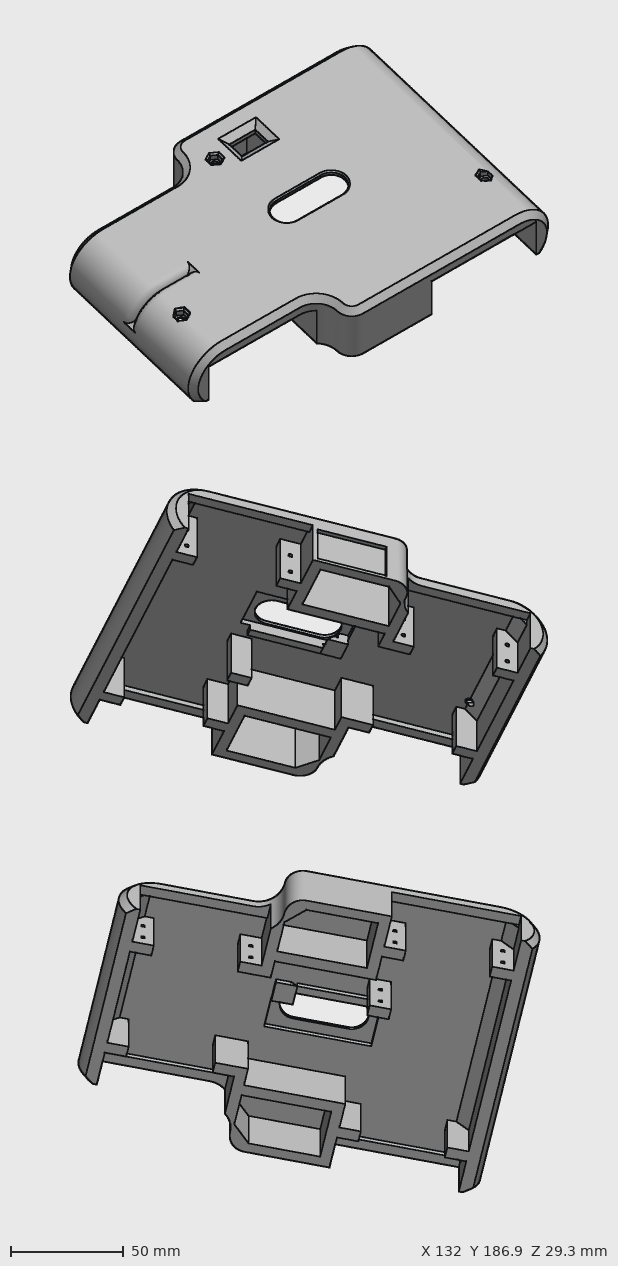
import cadquery as cq
import math

LENGTH = 186.9
HEIGHT = 29.3
HALF_LENGTH = LENGTH / 2
HALF_WIDTH = 66.0

SHOULDER_Y = -13.0
SHOULDER_RADIUS = 8.2
WAIST_RADIUS = 11.8
NARROW_HALF_WIDTH = HALF_WIDTH - SHOULDER_RADIUS - WAIST_RADIUS
SHOULDER_X = HALF_WIDTH - SHOULDER_RADIUS
FLARE_Y = SHOULDER_Y - SHOULDER_RADIUS
WAIST_Y = FLARE_Y - WAIST_RADIUS

END_RADIUS = 18.7
END_CENTER_Y = HALF_LENGTH - END_RADIUS
END_CENTER_Z = HEIGHT - END_RADIUS
EDGE_CHAMFER = 3.2

DECK = 5.0
CEILING_Z = HEIGHT - DECK
SKIRT_DEPTH = 7.8
SKIRT_BOTTOM_Z = HEIGHT - SKIRT_DEPTH
SKIRT_THICKNESS = 4.7
END_WALL_INNER_Y = 84.3
CORNER_CHAMFER = 5.6
POD_HALF_LENGTH = 25.6
POD_INNER_X = 37.8
POD_WALL = 5.2

POST_LENGTH = 9.7
POST_THICKNESS = 5.2
REAR_POST_X = 50.0
FRONT_POST_X = 29.2
PILOT_DIAMETER = 1.7
PILOT_DEPTH = 3.7
PILOT_HEIGHTS = (5.6, 15.7)
INNER_POST_X = 19.2

SLOT_CENTER = (-2.2, 9.5)
SLOT_LENGTH = 40.2
SLOT_WIDTH = 15.1
SLOT_CHAMFER = 0.7

RELIEF_DECK = 2.5
RELIEF_X = (-15.0, 6.2)
RELIEF_Y = (-15.0, 33.6)
RIB_THICKNESS = 3.7
RIB_END_Y = 29.2
RAMP_X = 0.2
RAMP_TOE_Y = -5.2
RAMP_RUN = 5.6

WINDOW_CENTER = (-46.2, 9.7)
WINDOW_MOUTH = (16.8, 21.3)
WINDOW_THROAT = (9.2, 14.5)
WINDOW_TAPER_DEPTH = 2.6

SCREW_POINTS = ((35.0, 79.6), (-46.0, -9.3), (18.7, -78.9))
SCREW_DIAMETER = 3.7
NUT_MOUTH_FLATS = 7.5
NUT_FLATS = 5.8
NUT_LEAD_IN = 1.0
NUT_DEPTH = 3.7

PANEL_CENTER_Y = 7.1
PANEL_CENTER_Z = 10.7
PANEL_LENGTH = 32.5
PANEL_HEIGHT = 18.0
PANEL_DEPTH = 2.0

GROOVE_HALF_WIDTH = 4.1
GROOVE_DEPTH = 3.7
GROOVE_LIP_BULGE = 0.65
GROOVE_START_Y = -57.2
GROOVE_END_Z = HEIGHT - 15.0

CLEARANCE = 1.9


def block(x0, x1, y0, y1, z0, z1):
    """Box between opposite corners."""
    return cq.Workplane("XY").box(x1 - x0, y1 - y0, z1 - z0, centered=False).translate((x0, y0, z0))


def outer_body():
    """Rounded-end side profile limited to the stepped plan, with chamfered edges."""
    bend = math.sqrt(0.5)
    foot_y = END_CENTER_Y + math.sqrt(END_RADIUS**2 - END_CENTER_Z**2)
    profile = (
        cq.Workplane("YZ")
        .moveTo(-foot_y, 0)
        .threePointArc((-HALF_LENGTH, END_CENTER_Z), (-END_CENTER_Y, HEIGHT))
        .lineTo(END_CENTER_Y, HEIGHT)
        .threePointArc((HALF_LENGTH, END_CENTER_Z), (foot_y, 0))
        .close()
        .extrude(HALF_WIDTH, both=True)
    )
    end_y = HALF_LENGTH + CLEARANCE
    shoulder_mid = (SHOULDER_X + SHOULDER_RADIUS * bend, SHOULDER_Y - SHOULDER_RADIUS * bend)
    waist_mid = (SHOULDER_X - WAIST_RADIUS * bend, WAIST_Y + WAIST_RADIUS * bend)
    plan = (
        cq.Workplane("XY")
        .moveTo(0, end_y)
        .lineTo(HALF_WIDTH, end_y)
        .lineTo(HALF_WIDTH, SHOULDER_Y)
        .threePointArc(shoulder_mid, (SHOULDER_X, FLARE_Y))
        .threePointArc(waist_mid, (NARROW_HALF_WIDTH, WAIST_Y))
        .lineTo(NARROW_HALF_WIDTH, -end_y)
        .lineTo(0, -end_y)
        .close()
        .extrude(HEIGHT)
    )
    body = profile.intersect(plan.union(plan.mirror("YZ")))
    top_rim = body.faces(">Z").edges("not(|X)")
    end_arcs = body.faces("|X").edges("%CIRCLE")
    return top_rim.add(end_arcs).chamfer(EDGE_CHAMFER)


def bay(half_width, length):
    """Front bay between a pod and its end wall, closed beside the deck by the skirts."""
    wide = HALF_WIDTH + CLEARANCE
    inside = half_width - SKIRT_THICKNESS
    room = block(-inside, inside, -END_WALL_INNER_Y, length - END_WALL_INNER_Y, -CLEARANCE, CEILING_Z)
    room = room.edges("|X and >Z and <Y").chamfer(CORNER_CHAMFER)
    opening = block(
        inside, wide, -END_WALL_INNER_Y, length - END_WALL_INNER_Y, -CLEARANCE, SKIRT_BOTTOM_Z
    )
    return room.union(opening).union(opening.mirror("YZ"))


def underside_cavities():
    """Rear and front bays, the bay between the pods, and the pod interiors."""
    bay_length = END_WALL_INNER_Y - POD_HALF_LENGTH
    front = bay(NARROW_HALF_WIDTH, bay_length)
    rear = bay(HALF_WIDTH, bay_length).mirror("XZ")

    pod_inner_y = POD_HALF_LENGTH - POD_WALL
    middle_x = POD_INNER_X - POD_WALL
    passage_x = FRONT_POST_X - POST_THICKNESS
    middle = block(-middle_x, middle_x, -pod_inner_y, POD_HALF_LENGTH, -CLEARANCE, CEILING_Z)
    passage = block(-passage_x, passage_x, -POD_HALF_LENGTH, -pod_inner_y, -CLEARANCE, CEILING_Z)

    pod_outer_x = HALF_WIDTH - SKIRT_THICKNESS
    pod = block(POD_INNER_X, pod_outer_x, -pod_inner_y, pod_inner_y, -CLEARANCE, CEILING_Z)
    pod = pod.edges("|Z and >X and <Y").chamfer(SHOULDER_RADIUS)
    return front.union(rear).union(middle).union(passage).union(pod).union(pod.mirror("YZ"))


def post(face_x, center_y):
    """Post on the right half whose drilled face points outward."""
    half = POST_LENGTH / 2
    body = block(face_x - POST_THICKNESS, face_x, center_y - half, center_y + half, 0, CEILING_Z)
    pilots = (
        cq.Workplane("YZ", origin=(face_x, 0, 0))
        .pushPoints([(center_y, z) for z in PILOT_HEIGHTS])
        .circle(PILOT_DIAMETER / 2)
        .extrude(-PILOT_DEPTH)
    )
    return body.cut(pilots)


def add_posts(body):
    """Mirrored post pairs in the front and rear bays, plus one inner rear post on the right."""
    near_y = POD_HALF_LENGTH + POST_LENGTH / 2
    far_y = END_WALL_INNER_Y - POST_LENGTH / 2
    for face_x, side in ((REAR_POST_X, 1), (FRONT_POST_X, -1)):
        for y in (near_y, far_y):
            right_post = post(face_x, side * y)
            body = body.union(right_post).union(right_post.mirror("YZ"))
    return body.union(post(INNER_POST_X, near_y))


def slot_relief():
    """Recess that thins the deck around the slot."""
    return block(*RELIEF_X, *RELIEF_Y, CEILING_Z - CLEARANCE, HEIGHT - RELIEF_DECK)


def slot_rib():
    """Rib beside the slot that ends in a ramp sloping down toward +Y."""
    rib_x0 = RELIEF_X[1]
    rib_x1 = rib_x0 + RIB_THICKNESS
    top_z = HEIGHT - RELIEF_DECK
    rib = block(rib_x0, rib_x1, RAMP_TOE_Y, RIB_END_Y, SKIRT_BOTTOM_Z, CEILING_Z)
    ramp = (
        cq.Workplane("YZ", origin=(RAMP_X, 0, 0))
        .moveTo(RAMP_TOE_Y, SKIRT_BOTTOM_Z)
        .lineTo(RAMP_TOE_Y - RAMP_RUN, top_z)
        .lineTo(RELIEF_Y[0], top_z)
        .lineTo(RELIEF_Y[0], SKIRT_BOTTOM_Z)
        .close()
        .extrude(rib_x1 - RAMP_X)
    )
    return rib.union(ramp)


def slot_cutter():
    """Rounded slot through the deck with a chamfered rim."""
    top = cq.Workplane("XY", origin=(*SLOT_CENTER, HEIGHT))
    through = top.slot2D(SLOT_LENGTH, SLOT_WIDTH, 90).extrude(-DECK)
    rim = (
        top.slot2D(SLOT_LENGTH + 2 * SLOT_CHAMFER, SLOT_WIDTH + 2 * SLOT_CHAMFER, 90)
        .extrude(-SLOT_CHAMFER, taper=45)
    )
    return through.union(rim)


def window_cutter():
    """Tapered mouth, straight throat and a clearance pocket below it."""
    top = cq.Workplane("XY", origin=(*WINDOW_CENTER, HEIGHT))
    mouth = (
        top.rect(*WINDOW_MOUTH)
        .workplane(offset=-WINDOW_TAPER_DEPTH)
        .rect(*WINDOW_THROAT)
        .loft(ruled=True)
    )
    throat = top.rect(*WINDOW_THROAT).extrude(-DECK)
    pocket = top.workplane(offset=-DECK).rect(*WINDOW_MOUTH).extrude(DECK - HEIGHT)
    return mouth.union(throat).union(pocket)


def screw_cutter(x, y):
    """Through hole with a hexagonal nut recess that flares at its mouth."""
    corner = 2 / math.sqrt(3)
    drop = END_RADIUS - math.sqrt(END_RADIUS**2 - max(abs(y) - END_CENTER_Y, 0) ** 2)
    top = cq.Workplane("XY", origin=(x, y, HEIGHT - drop))
    hole = top.circle(SCREW_DIAMETER / 2).extrude(-HEIGHT - CLEARANCE)
    nut = top.polygon(6, NUT_FLATS * corner).extrude(-NUT_DEPTH)
    lead_in = (
        top.polygon(6, NUT_MOUTH_FLATS * corner)
        .workplane(offset=-NUT_LEAD_IN)
        .polygon(6, NUT_FLATS * corner)
        .loft(ruled=True)
    )
    above = top.polygon(6, NUT_MOUTH_FLATS * corner).extrude(CLEARANCE)
    return hole.union(nut).union(lead_in).union(above)


def panel_cutter():
    """Shallow rectangular recess in the outer face of the left pod."""
    return (
        cq.Workplane("YZ", origin=(-HALF_WIDTH, PANEL_CENTER_Y, PANEL_CENTER_Z))
        .rect(PANEL_LENGTH, PANEL_HEIGHT)
        .extrude(PANEL_DEPTH)
    )


def groove_section():
    """Groove section at the start of the front bend: a notch with slightly rounded lips."""
    mid_x = GROOVE_HALF_WIDTH / 2 - GROOVE_LIP_BULGE
    mid_z = -GROOVE_DEPTH / 2 + GROOVE_LIP_BULGE
    return (
        cq.Workplane("XZ", origin=(0, -END_CENTER_Y, HEIGHT))
        .moveTo(-GROOVE_HALF_WIDTH, CLEARANCE)
        .lineTo(-GROOVE_HALF_WIDTH, 0)
        .threePointArc((-mid_x, mid_z), (0, -GROOVE_DEPTH))
        .threePointArc((mid_x, mid_z), (GROOVE_HALF_WIDTH, 0))
        .lineTo(GROOVE_HALF_WIDTH, CLEARANCE)
        .close()
    )


def groove_cutter():
    """Notch that runs along the deck and over the front bend, with sloped ends."""
    straight = groove_section().extrude(-(GROOVE_START_Y + END_CENTER_Y + CLEARANCE))
    bend = groove_section().revolve(90, (-1.9, -END_RADIUS, 0), (1.9, -END_RADIUS, 0))
    floor_radius = END_RADIUS - GROOVE_DEPTH
    end_angle = math.acos((GROOVE_END_Z - END_CENTER_Z) / END_RADIUS)
    floor_angle = end_angle - GROOVE_DEPTH / END_RADIUS

    def on_bend(radius, angle):
        return (-END_CENTER_Y - radius * math.sin(angle), END_CENTER_Z + radius * math.cos(angle))

    end_rim = on_bend(END_RADIUS + CLEARANCE, end_angle + CLEARANCE / END_RADIUS)
    limits = (
        cq.Workplane("YZ")
        .polyline([
            (GROOVE_START_Y + CLEARANCE, HEIGHT + CLEARANCE),
            (GROOVE_START_Y - GROOVE_DEPTH, HEIGHT - GROOVE_DEPTH),
            (-END_CENTER_Y, END_CENTER_Z),
            on_bend(floor_radius, floor_angle),
            end_rim,
            (end_rim[0] - CLEARANCE, HEIGHT + CLEARANCE),
        ])
        .close()
        .extrude(GROOVE_HALF_WIDTH + CLEARANCE, both=True)
    )
    return straight.union(bend).intersect(limits)


part = add_posts(outer_body().cut(underside_cavities()))
part = part.cut(slot_relief()).union(slot_rib())
for cutter in (slot_cutter(), window_cutter(), panel_cutter(), groove_cutter()):
    part = part.cut(cutter)
for x, y in SCREW_POINTS:
    part = part.cut(screw_cutter(x, y))
result = part